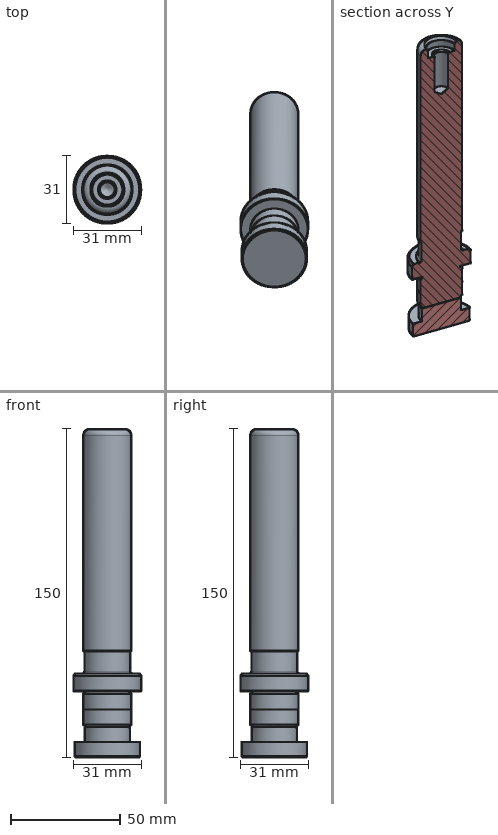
import cadquery as cq
import math

LENGTH = 150.0

FLANGE_RADIUS = 15.0
FLANGE_HEIGHT = 7.0
FLANGE_CHAMFER = 0.6
STEM_DIAMETER = 20.8
STEM_RADIUS = STEM_DIAMETER / 2
FOOT_HEIGHT = 13.8

SHAFT_DIAMETER = 22.0
SHAFT_RADIUS = SHAFT_DIAMETER / 2
NECK_RADIUS = 10.5
COLLAR_DIAMETER = 31.0
COLLAR_RADIUS = COLLAR_DIAMETER / 2
COLLAR_BOTTOM = 30.2
COLLAR_TOP = 38.4
COLLAR_TOP_CHAMFER = 0.9
COLLAR_TOP_CHAMFER_HEIGHT = 1.2
COLLAR_BOTTOM_CHAMFER = 0.3
NECK_TOP = 48.8
NECK_STEP = 0.5
NECK_FILLET = 1.0
NECK_RELIEF_DEPTH = 0.2
SPIGOT_CHAMFER = 1.2
PRESS_BAND_BOTTOM = 21.9
PRESS_BAND_STEP = 0.03
UNDERCUT_DEPTH = 1.2
TIP_FILLET = 3.0

RECESS_RADIUS = 6.9
RECESS_CHAMFER = 0.9
RECESS_CHAMFER_DEPTH = 1.6
RECESS_DEPTH = 5.1
DRILL_RADIUS = 3.5
DRILL_CHAMFER = 0.8
DRILL_DEPTH = 24.0
DRILL_POINT_ANGLE = 120.0


def revolve_profile(profile):
    """Revolve a radius-height outline a full turn about Z."""
    return profile.close().revolve(360, (0, 0, 0), (0, 1, 0))


def make_foot():
    flange = cq.Workplane("XY").circle(FLANGE_RADIUS).extrude(FLANGE_HEIGHT)
    flange = flange.faces("<Z").chamfer(FLANGE_CHAMFER)
    stem = cq.Workplane("XY").circle(STEM_RADIUS).extrude(FOOT_HEIGHT)
    return flange.union(stem)


def make_pillar_blank():
    """Solid pillar: spigot with press-fit band, collar, neck and round-nosed shaft."""
    fillet_mid = NECK_FILLET * (1 - math.sqrt(0.5))
    relief_floor = COLLAR_TOP - NECK_RELIEF_DEPTH
    press_radius = SHAFT_RADIUS + PRESS_BAND_STEP
    tip_mid = TIP_FILLET * (1 - math.sqrt(0.5))
    return revolve_profile(
        cq.Workplane("XZ")
        .moveTo(0, FOOT_HEIGHT)
        .lineTo(SHAFT_RADIUS - SPIGOT_CHAMFER, FOOT_HEIGHT)
        .lineTo(SHAFT_RADIUS, FOOT_HEIGHT + SPIGOT_CHAMFER)
        .lineTo(SHAFT_RADIUS, PRESS_BAND_BOTTOM)
        .lineTo(press_radius, PRESS_BAND_BOTTOM)
        .lineTo(press_radius, COLLAR_BOTTOM - UNDERCUT_DEPTH)
        .lineTo(SHAFT_RADIUS - UNDERCUT_DEPTH, COLLAR_BOTTOM)
        .lineTo(COLLAR_RADIUS - COLLAR_BOTTOM_CHAMFER, COLLAR_BOTTOM)
        .lineTo(COLLAR_RADIUS, COLLAR_BOTTOM + COLLAR_BOTTOM_CHAMFER)
        .lineTo(COLLAR_RADIUS, COLLAR_TOP - COLLAR_TOP_CHAMFER_HEIGHT)
        .lineTo(COLLAR_RADIUS - COLLAR_TOP_CHAMFER, COLLAR_TOP)
        .lineTo(NECK_RADIUS + NECK_FILLET, COLLAR_TOP)
        .lineTo(NECK_RADIUS + NECK_FILLET, relief_floor)
        .threePointArc(
            (NECK_RADIUS + fillet_mid, relief_floor + fillet_mid),
            (NECK_RADIUS, relief_floor + NECK_FILLET),
        )
        .lineTo(NECK_RADIUS, NECK_TOP - NECK_STEP)
        .lineTo(SHAFT_RADIUS, NECK_TOP)
        .lineTo(SHAFT_RADIUS, LENGTH - TIP_FILLET)
        .threePointArc(
            (SHAFT_RADIUS - tip_mid, LENGTH - tip_mid),
            (SHAFT_RADIUS - TIP_FILLET, LENGTH),
        )
        .lineTo(0, LENGTH)
    )


def make_bore():
    """Chamfered recess above a countersunk drilling with a conical end."""
    recess_floor = LENGTH - RECESS_DEPTH
    drill_end = LENGTH - DRILL_DEPTH
    point_depth = DRILL_RADIUS / math.tan(math.radians(DRILL_POINT_ANGLE / 2))
    return revolve_profile(
        cq.Workplane("XZ")
        .moveTo(0, LENGTH)
        .lineTo(RECESS_RADIUS + RECESS_CHAMFER, LENGTH)
        .lineTo(RECESS_RADIUS, LENGTH - RECESS_CHAMFER_DEPTH)
        .lineTo(RECESS_RADIUS, recess_floor)
        .lineTo(DRILL_RADIUS + DRILL_CHAMFER, recess_floor)
        .lineTo(DRILL_RADIUS, recess_floor - DRILL_CHAMFER)
        .lineTo(DRILL_RADIUS, drill_end)
        .lineTo(0, drill_end - point_depth)
    )


foot = make_foot()
pillar = make_pillar_blank().cut(make_bore())

result = cq.Compound.makeCompound([foot.val(), pillar.val()])